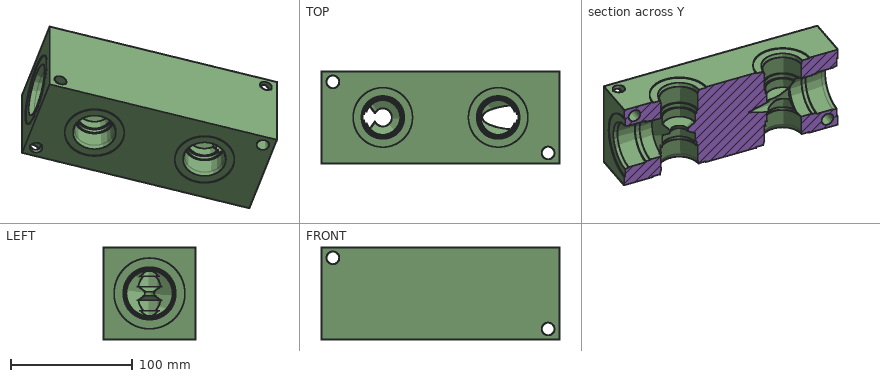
import cadquery as cq
import math

BLOCK_LENGTH = 196.85
BLOCK_SIDE = 76.2

DRILL_POINT_HALF_ANGLE = math.radians(59)
SEAL_TAPER_HALF_ANGLE = math.radians(15)
SPOTFACE_DEPTH = 0.762

END_PORT = {
    "spotface_dia": 58.57,
    "seal_dia": 43.51,
    "seal_end_dia": 41.76,
    "thread_dia": 41.28,
    "thread_depth": 19.81,
    "tap_drill_dia": 39.22,
    "tap_drill_depth": 23.8,
    "drill_dia": 38.1,
    "drill_depth": 35.0,
}

SIDE_PORT = {
    "spotface_dia": 49.12,
    "seal_dia": 35.51,
    "seal_end_dia": 33.76,
    "thread_dia": 33.34,
    "thread_depth": 19.81,
    "tap_drill_dia": 31.28,
    "tap_drill_depth": 23.8,
    "drill_dia": 28.58,
    "drill_depth": 32.5,
}
SIDE_PORT_FROM_END = 50.8

MOUNT_HOLE_DIA = 10.31
MOUNT_HOLE_FROM_END = 9.525
MOUNT_HOLE_FROM_SIDE = 8.73

HALF_LENGTH = BLOCK_LENGTH / 2
HALF_SIDE = BLOCK_SIDE / 2


def port_cavity(port):
    """Stepped port cavity opening at the origin and running down -Z to its drill point."""
    seal_r = port["seal_dia"] / 2
    seal_end_r = port["seal_end_dia"] / 2
    thread_r = port["thread_dia"] / 2
    tap_drill_r = port["tap_drill_dia"] / 2
    drill_r = port["drill_dia"] / 2
    seal_depth = SPOTFACE_DEPTH + (seal_r - seal_end_r) / math.tan(SEAL_TAPER_HALF_ANGLE)
    point_depth = port["drill_depth"] + drill_r / math.tan(DRILL_POINT_HALF_ANGLE)
    profile = [
        (0, 0),
        (port["spotface_dia"] / 2, 0),
        (port["spotface_dia"] / 2, -SPOTFACE_DEPTH),
        (seal_r, -SPOTFACE_DEPTH),
        (seal_end_r, -seal_depth),
        (thread_r, -seal_depth),
        (thread_r, -port["thread_depth"]),
        (tap_drill_r, -port["thread_depth"]),
        (tap_drill_r, -port["tap_drill_depth"]),
        (drill_r, -port["tap_drill_depth"]),
        (drill_r, -port["drill_depth"]),
        (0, -point_depth),
    ]
    return cq.Workplane("XZ").polyline(profile).close().revolve(360, (0, 0), (0, 1))


def full_taper(port):
    """Cone that continues the port's seal taper inwards to its apex."""
    seal_r = port["seal_dia"] / 2
    apex_depth = SPOTFACE_DEPTH + seal_r / math.tan(SEAL_TAPER_HALF_ANGLE)
    profile = [(0, -SPOTFACE_DEPTH), (seal_r, -SPOTFACE_DEPTH), (0, -apex_depth)]
    return cq.Workplane("XZ").polyline(profile).close().revolve(360, (0, 0), (0, 1))


def end_port(side):
    """Port in the end facing -X (side = -1) or +X (side = 1); the +X one has the full taper."""
    cavity = port_cavity(END_PORT)
    if side > 0:
        cavity = cavity.union(full_taper(END_PORT))
    return cavity.rotate((0, 0, 0), (0, 1, 0), side * 90).translate((side * HALF_LENGTH, 0, 0))


def side_port_pair(x):
    """Facing top and bottom ports at x; the bottom one has the full taper and joins the two."""
    top = port_cavity(SIDE_PORT).translate((x, 0, HALF_SIDE))
    bottom = port_cavity(SIDE_PORT).union(full_taper(SIDE_PORT))
    bottom = bottom.rotate((0, 0, 0), (1, 0, 0), 180).translate((x, 0, -HALF_SIDE))
    return top.union(bottom)


def mounting_holes(plane):
    """Two through holes, upper left and lower right of the face lying in the given plane."""
    x = HALF_LENGTH - MOUNT_HOLE_FROM_END
    v = HALF_SIDE - MOUNT_HOLE_FROM_SIDE
    return (
        cq.Workplane(plane)
        .pushPoints([(-x, v), (x, -v)])
        .circle(MOUNT_HOLE_DIA / 2)
        .extrude(HALF_SIDE, both=True)
    )


result = cq.Workplane("XY").box(BLOCK_LENGTH, BLOCK_SIDE, BLOCK_SIDE)
for side in (-1, 1):
    result = result.cut(end_port(side))
    result = result.cut(side_port_pair(side * (HALF_LENGTH - SIDE_PORT_FROM_END)))
for plane in ("XY", "XZ"):
    result = result.cut(mounting_holes(plane))